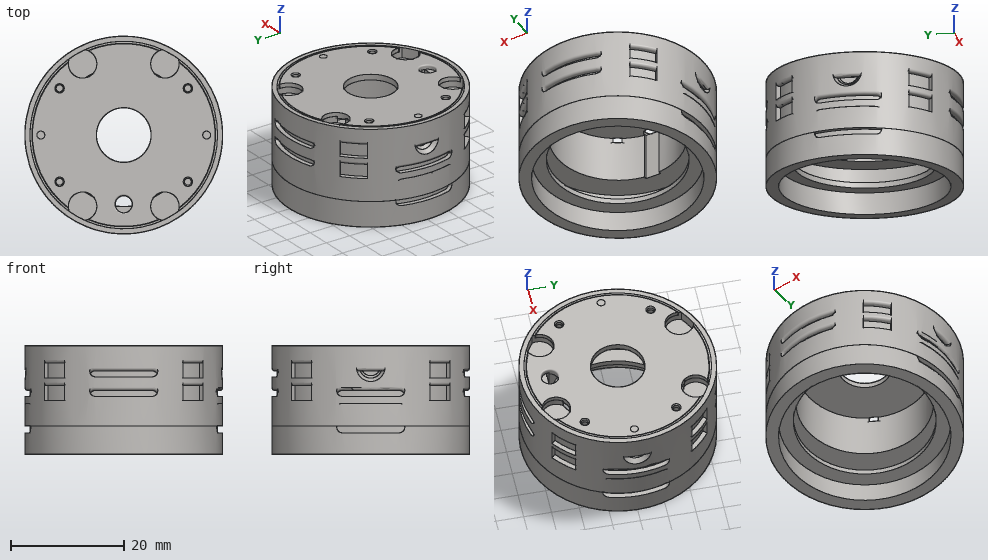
import cadquery as cq
import math

outer_diameter = 34.9
height = 19.2
base_height = 5.03

shell_bore = 33.1
shell_radius = outer_diameter / 2
shell_bore_radius = shell_bore / 2

base_bore = 25.2
base_cavity = 30.4
base_flange_thickness = 1.0

liner_bottom = 8.83
liner_bore = 24.3
recess_diameter = 32.4
pin_diameter = 1.4
pin_offset = 14.62

plate_diameter = 32.2
plate_thickness = 0.8
plate_bore = 9.6
spigot_height = 0.3
seat_height = height - plate_thickness
spigot_bottom = seat_height - spigot_height
cable_hole_diameter = 3.0
cable_hole_offset = 12.2
cable_hole_rounding = 0.28
cable_channel_width = 2.93
cable_channel_end = 12.55

pocket_diameter = 5.03
pocket_x = 7.25
pocket_y = 12.55
pocket_depth = 2.0

screw_hole_diameter = 1.22
screw_countersink = 1.65
screw_x = 11.3
screw_y = 8.25
screw_depth = 2.0

slot_length = 12.0
slot_width = 2.0
slot_pitch = 3.45
rounded_slot_top = 13.75
slot_layer_shift = 0.95
edge_rounding = 0.5
rounded_slot_heights = [rounded_slot_top - slot_pitch * row for row in range(2)]
front_slot_heights = [z + slot_layer_shift for z in rounded_slot_heights]
lower_slot_pitch = 3.2
side_slot_heights = [front_slot_heights[-1] - lower_slot_pitch * row for row in range(3)]
front_angles = (90, 270)
side_angles = (0, 180)
slot_angles = front_angles + side_angles

window_width = 4.95
window_pitch = 3.98
plain_window_height = 3.1
plain_window_top = 16.6
rounded_window_height = 2.8
rounded_window_top = plain_window_top - edge_rounding
window_rows = range(2)
window_angles = (45, 135, 225, 315)

port_mouth = 5.37
port_throat = 3.35
port_cone_depth = 1.57
port_height = 15.55

tolerance = 0.005

pocket_points = [(x, y) for x in (-pocket_x, pocket_x) for y in (-pocket_y, pocket_y)]
screw_points = [(x, y) for x in (-screw_x, screw_x) for y in (-screw_y, screw_y)]
pin_points = [(-pin_offset, 0), (pin_offset, 0)]


def cylinder(diameter, bottom, top):
    """Upright cylinder on the main axis."""
    return cq.Workplane("XY").workplane(offset=bottom).circle(diameter / 2).extrude(top - bottom)


def tube(outer, inner, bottom, top):
    """Upright tube on the main axis."""
    return cylinder(outer, bottom, top).cut(cylinder(inner, bottom, top))


def cylinders_at(points, diameter, bottom, top):
    """Upright cylinders at the given places."""
    plane = cq.Workplane("XY").workplane(offset=bottom)
    return plane.pushPoints(points).circle(diameter / 2).extrude(top - bottom)


def turned(body, angle):
    """Body turned about the main axis."""
    return body.rotate((0, 0, 0), (0, 0, 1), angle)


def slot_cutter(z, angle):
    """Stadium-shaped cutter reaching from the shell bore outwards."""
    start = math.sqrt(shell_bore_radius**2 - (slot_length / 2) ** 2)
    profile = cq.Workplane("YZ", origin=(start, 0, z)).slot2D(slot_length, slot_width)
    cutter = profile.extrude(shell_radius).cut(cylinder(shell_bore, 0, height))
    return turned(cutter, angle)


def window_cutter(top, window_height, angle):
    """Rectangular cutter reaching from inside the shell bore outwards."""
    start = math.sqrt(shell_bore_radius**2 - (window_width / 2) ** 2)
    center = (start, 0, top - window_height / 2)
    profile = cq.Workplane("YZ", origin=center).rect(window_width, window_height)
    cutter = profile.extrude(shell_radius).cut(cylinder(shell_bore, 0, height))
    return turned(cutter, angle)


def port_cutter(angle):
    """Flat-ended cone that narrows from the outer surface towards the main axis."""
    cone_end = shell_radius - port_cone_depth
    profile = (
        cq.Workplane("XZ")
        .moveTo(cone_end, port_height)
        .lineTo(cone_end, port_height + port_throat / 2)
        .lineTo(shell_radius, port_height + port_mouth / 2)
        .lineTo(shell_radius, port_height)
        .close()
    )
    return turned(profile.revolve(360, (0, port_height), (1, port_height)), angle)


def cut_all(body, cutters):
    for cutter in cutters:
        body = body.cut(cutter)
    return body


def front_slots():
    return [slot_cutter(z, a) for a in front_angles for z in front_slot_heights]


def side_slots():
    return [slot_cutter(z, a) for a in side_angles for z in side_slot_heights]


def windows(top, window_height):
    return [
        window_cutter(top - window_pitch * row, window_height, angle)
        for angle in window_angles
        for row in window_rows
    ]


def ports():
    return [port_cutter(angle) for angle in side_angles]


def is_mouth_edge(edge):
    """True for an edge of an opening on the outer cylinder, away from the sleeve's two ends."""
    points = [edge.positionAt(t) for t in (0, 0.5, 1)]
    on_surface = all(abs(math.hypot(p.x, p.y) - shell_radius) < tolerance for p in points)
    clear_of_ends = all(base_height + tolerance < p.z < height - tolerance for p in points)
    middle = points[1]
    off_seam = math.hypot(middle.x - shell_radius, middle.y) > tolerance
    return on_surface and clear_of_ends and off_seam


def make_base():
    """Bottom ring with an inward flange at its top and the lower part of the side slots."""
    body = cylinder(outer_diameter, 0, base_height)
    body = body.cut(cylinder(base_cavity, 0, base_height - base_flange_thickness))
    body = body.cut(cylinder(base_bore, 0, base_height))
    return cut_all(body, side_slots())


def make_sleeve():
    """Upper shell; an opening is left only where the plain and the rounded openings coincide."""
    wall = tube(outer_diameter, shell_bore, base_height, height)
    plain = cut_all(wall, front_slots() + side_slots() + ports())
    plain = cut_all(plain, windows(plain_window_top, plain_window_height))

    rounded = cut_all(wall, [slot_cutter(z, a) for a in slot_angles for z in rounded_slot_heights])
    rounded = cut_all(rounded, windows(rounded_window_top, rounded_window_height))
    mouth_edges = [edge for edge in rounded.edges().vals() if is_mouth_edge(edge)]
    rounded = rounded.newObject(mouth_edges).fillet(edge_rounding)
    return plain.union(rounded)


def make_liner():
    """Inner ring with a recess for the plate, two pins, pockets, screw holes and ports.

    A straight channel in the bore runs below the cable hole.
    """
    body = tube(shell_bore, liner_bore, liner_bottom, height)
    body = body.cut(cylinder(recess_diameter, seat_height, height))
    body = body.union(cylinders_at(pin_points, pin_diameter, seat_height, height))
    body = body.cut(cylinders_at(pocket_points, pocket_diameter, height - pocket_depth, height))
    body = body.cut(cylinders_at(screw_points, screw_hole_diameter, height - screw_depth, height))
    channel = cq.Workplane("XY", origin=(0, -cable_channel_end / 2, liner_bottom))
    channel = channel.rect(cable_channel_width, cable_channel_end).extrude(height - liner_bottom)
    return cut_all(body.cut(channel), ports())


def make_plate():
    """Cover disc with a spigot that enters the liner bore."""
    body = cylinder(plate_diameter, seat_height, height)
    body = body.union(cylinder(liner_bore, spigot_bottom, seat_height))
    body = body.cut(cylinder(plate_bore, spigot_bottom, height))
    body = body.cut(cylinders_at(pocket_points, pocket_diameter, spigot_bottom, height))
    body = body.cut(cylinders_at(pin_points, pin_diameter, spigot_bottom, height))

    countersink_depth = (screw_countersink - screw_hole_diameter) / 2
    body = body.cut(cylinders_at(screw_points, screw_hole_diameter, spigot_bottom, height))
    for x, y in screw_points:
        rim = cq.NearestToPointSelector((x, y, height))
        body = body.edges("%CIRCLE").edges(">Z").edges(rim).chamfer(countersink_depth)

    cable_point = (0, -cable_hole_offset)
    body = body.cut(cylinders_at([cable_point], cable_hole_diameter, spigot_bottom, height))
    cable_rim = cq.NearestToPointSelector((0, -cable_hole_offset, height))
    return body.edges("%CIRCLE").edges(">Z").edges(cable_rim).fillet(cable_hole_rounding)


base = make_base()
sleeve = make_sleeve()
liner = make_liner()
plate = make_plate()

result = cq.Compound.makeCompound([base.val(), sleeve.val(), liner.val(), plate.val()])